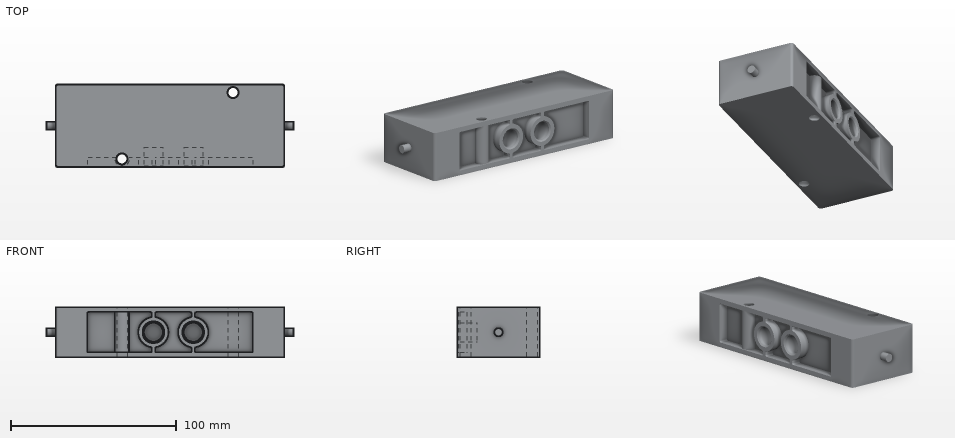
import cadquery as cq

body_length = 138.0
body_width = 50.0
body_height = 30.4
corner_radius = 1.67

pin_diameter = 5.0
overall_length = 149.0

pocket_length = 100.0
rim_thickness = 3.0
pocket_height = body_height - 2 * rim_thickness
pocket_depth = 6.0
pocket_corner_radius = 1.0

port_positions = (-10.0, 14.0)
port_boss_diameter = 18.24
port_core_diameter = 11.45
port_mouth_diameter = 13.16
port_chamfer = (port_mouth_diameter - port_core_diameter) / 2
port_depth = 12.0
rib_thickness = 2.0

mount_hole_diameter = 6.5
mount_hole_offset = 20.0
front_hole_x = -29.0
rear_hole_x = 38.0
mount_boss_diameter = 8.57

front_y = -body_width / 2
pocket_floor_y = front_y + pocket_depth


def make_block():
    """Rectangular block with rounded vertical edges, centred on the origin."""
    return cq.Workplane("XY").box(body_length, body_width, body_height).edges("|Z").fillet(corner_radius)


def make_pins():
    """One rod along X through the block; its ends stand out as the two pins."""
    return cq.Workplane("YZ").circle(pin_diameter / 2).extrude(overall_length / 2, both=True)


def front_sketch_plane(y):
    """Plane facing -Y at the given y, with its local x along +X and local y along +Z."""
    return cq.Workplane("XZ", origin=(0, y, 0))


def make_pocket():
    """Volume removed from the front, leaving ring bosses and ribs with rounded corners."""
    floor = front_sketch_plane(pocket_floor_y)
    pocket = floor.rect(pocket_length, pocket_height).extrude(pocket_depth)
    for x in port_positions:
        boss = floor.center(x, 0).circle(port_boss_diameter / 2).extrude(pocket_depth)
        rib = floor.center(x, 0).rect(rib_thickness, pocket_height).extrude(pocket_depth)
        pocket = pocket.cut(boss).cut(rib)
    pocket = pocket.edges("|Y").fillet(pocket_corner_radius)
    return pocket.cut(make_mount_boss())


def make_mount_boss():
    """Round column that carries the front mounting hole across the pocket."""
    column = cq.Workplane("XY").center(front_hole_x, -mount_hole_offset)
    return column.circle(mount_boss_diameter / 2).extrude(body_height / 2, both=True)


def make_port(x):
    """Blind round port with a chamfered mouth, entering from the front face."""
    mouth = front_sketch_plane(front_y).center(x, 0)
    bore = mouth.circle(port_core_diameter / 2).extrude(-port_depth)
    chamfer = (
        mouth.circle(port_mouth_diameter / 2)
        .workplane(offset=-port_chamfer)
        .circle(port_core_diameter / 2)
        .loft(ruled=True)
    )
    return bore.union(chamfer)


def make_mount_hole(x, y):
    """Vertical hole through the full height of the block."""
    return cq.Workplane("XY").center(x, y).circle(mount_hole_diameter / 2).extrude(body_height / 2, both=True)


result = make_block().union(make_pins()).cut(make_pocket())
for port_x in port_positions:
    result = result.cut(make_port(port_x))
result = result.cut(make_mount_hole(front_hole_x, -mount_hole_offset))
result = result.cut(make_mount_hole(rear_hole_x, mount_hole_offset))